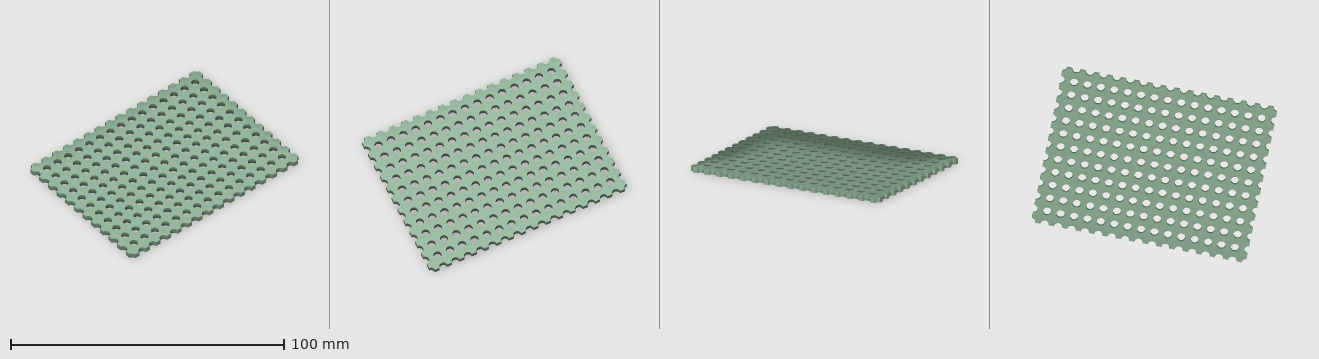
import cadquery as cq

length = 80.0
width = 60.0
thickness = 2.0

steps_x = 12
steps_y = 16
pitch_x = width / steps_x
pitch_y = length / steps_y
web = 2.0
hole_diameter = pitch_x - web


def make_plate():
    """Plain rectangular plate centred on the Z axis, standing on Z = 0."""
    return cq.Workplane("XY").box(width, length, thickness, centered=(True, True, False))


def make_hole_pins():
    """Round pins on every grid point; those on the border leave half and quarter notches."""
    return (
        cq.Workplane("XY")
        .rarray(pitch_x, pitch_y, steps_x + 1, steps_y + 1)
        .circle(hole_diameter / 2)
        .extrude(thickness)
    )


result = make_plate().cut(make_hole_pins())